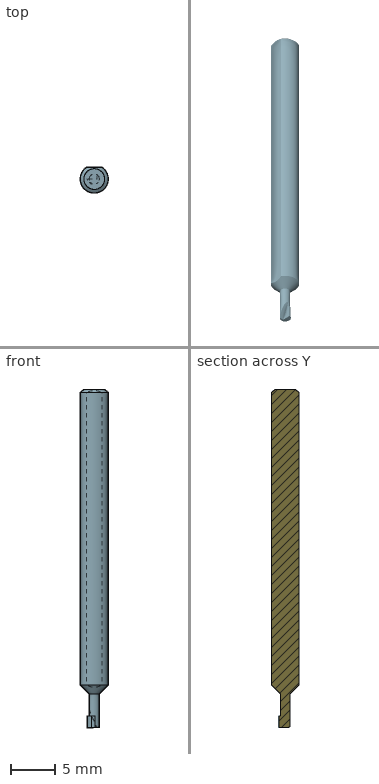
import cadquery as cq
import math

length = 38.1
shank_radius = 3.175 / 2
shank_flat_y = 1.335
top_chamfer_height = 0.36
top_chamfer_inset = 0.42

neck_radius = 0.57
cone_top_z = 4.84
cone_bottom_z = cone_top_z - (shank_radius - neck_radius)

head_height = 1.38
tip_reach = 0.8
relief_bulge = 0.06
heel_y = -0.58
heel_start_x = -0.29
heel_end_x = 0.06
end_dish_angle = 3.0

gullet_start_z = 2.05
gullet_axis_z = 0.72


def make_body():
    """Neck, cone and chamfered shank as one turned profile."""
    profile = (
        cq.Workplane("XZ")
        .lineTo(neck_radius, 0)
        .lineTo(neck_radius, cone_bottom_z)
        .lineTo(shank_radius, cone_top_z)
        .lineTo(shank_radius, length - top_chamfer_height)
        .lineTo(shank_radius - top_chamfer_inset, length)
        .lineTo(0, length)
        .close()
    )
    turned = profile.revolve(360, (0, 0, 0), (0, 1, 0))
    return turned.rotate((0, 0, 0), (0, 0, 1), 180)


def make_shank_flat():
    """Block that removes the +Y side of the shank."""
    return cq.Workplane("XY").box(
        2 * shank_radius, shank_radius, length, centered=(True, False, False)
    ).translate((0, shank_flat_y, 0))


def make_head():
    """Cutting tooth behind the rake face, with curved relief and heel flat."""
    return (
        cq.Workplane("XY")
        .moveTo(heel_end_x, 0)
        .lineTo(-tip_reach, 0)
        .sagittaArc((heel_start_x, heel_y), -relief_bulge)
        .lineTo(heel_end_x, heel_y)
        .close()
        .extrude(head_height)
    )


def make_gullet():
    """Wedge that exposes the rake face at Y = 0, with a sloping floor."""
    floor_slope = neck_radius / (gullet_start_z - gullet_axis_z)
    floor_end_x = gullet_axis_z * floor_slope
    return (
        cq.Workplane("XZ")
        .moveTo(-neck_radius, gullet_start_z)
        .lineTo(floor_end_x, 0)
        .lineTo(-tip_reach, 0)
        .lineTo(-tip_reach, gullet_start_z)
        .close()
        .extrude(-neck_radius)
    )


def make_end_dish():
    """Thin wedge under the end face, leaving the cutting corner lowest."""
    dish_length = tip_reach + neck_radius
    dish_rise = dish_length * math.tan(math.radians(end_dish_angle))
    return (
        cq.Workplane("XZ")
        .moveTo(-tip_reach, 0)
        .lineTo(neck_radius, 0)
        .lineTo(neck_radius, dish_rise)
        .close()
        .extrude(tip_reach, both=True)
    )


result = (
    make_body()
    .cut(make_shank_flat())
    .union(make_head())
    .cut(make_gullet())
    .cut(make_end_dish())
)